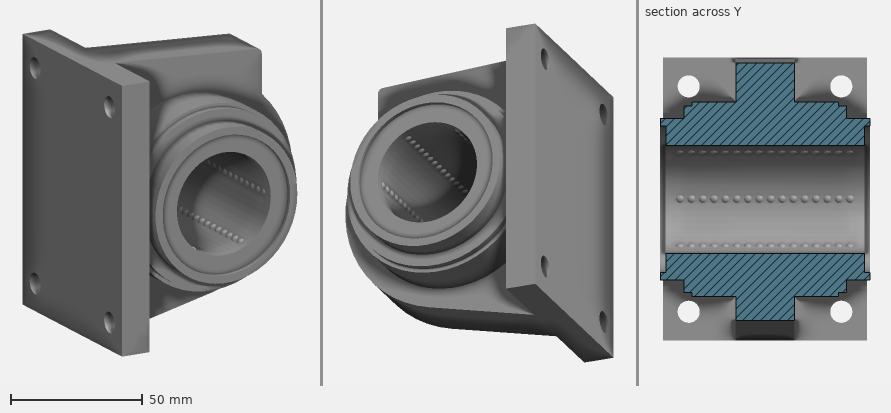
import cadquery as cq
import math


sleeve_length = 80.0
overall_depth = 90.0
plate_height = 108.0
rib_radius = overall_depth / 2

plate_width = 77.8
plate_thickness = 12.1
mount_face_y = -overall_depth / 2
plate_back_y = mount_face_y + plate_thickness
hole_spacing_x = 58.2
hole_spacing_z = 86.0
mount_hole_diameter = 8.4

rib_thickness = 22.6
rib_depth = 76.5
rib_drop = 3.8
rib_corner_radius = 2.0

hub_radius = 37.3
hub_length = 56.2
shoulder_radius = 35.7
shoulder_length = 62.0
sleeve_radius = 31.0

bore_radius = 20.5
recess_radius = 27.9
recess_depth = 2.0
recess_offset = (sleeve_length - recess_depth) / 2

ball_rows = 6
balls_per_row = 16
ball_pitch = 4.3
ball_radius = 2.0
ball_protrusion = 0.6


def x_cylinder(radius, length, centre_x=0):
    """Cylinder on the bore axis with its middle at centre_x."""
    return cq.Workplane("YZ", origin=(centre_x - length / 2, 0, 0)).circle(radius).extrude(length)


def mounting_plate():
    plate = cq.Workplane("XY").box(plate_width, plate_thickness, plate_height)
    hole_grid = plate.faces("<Y").workplane().rarray(hole_spacing_x, hole_spacing_z, 2, 2)
    return hole_grid.hole(mount_hole_diameter).translate((0, mount_face_y + plate_thickness / 2, 0))


def rib():
    """Round-backed web: a sloping top block above, a line tangent to the round below."""
    top_z = plate_height / 2
    block_back_y = mount_face_y + rib_depth
    block_top_z = top_z - rib_drop
    block_foot_z = math.sqrt(rib_radius**2 - block_back_y**2)

    corner_distance = math.hypot(plate_back_y, top_z)
    tangent_angle = math.atan2(-top_z, plate_back_y) + math.acos(rib_radius / corner_distance)
    tangent_y = rib_radius * math.cos(tangent_angle)
    tangent_z = rib_radius * math.sin(tangent_angle)

    web = (
        cq.Workplane("YZ", origin=(-rib_thickness / 2, 0, 0))
        .moveTo(plate_back_y, top_z)
        .lineTo(block_back_y, block_top_z)
        .lineTo(block_back_y, block_foot_z)
        .threePointArc((rib_radius, 0), (tangent_y, tangent_z))
        .lineTo(plate_back_y, -top_z)
        .close()
        .extrude(rib_thickness)
    )
    corner = cq.selectors.NearestToPointSelector((0, block_back_y, block_top_z))
    return web.edges("|X").edges(corner).fillet(rib_corner_radius)


def bearing_balls():
    """Balls in straight rows, spaced evenly around the bore."""
    centre_radius = bore_radius - ball_protrusion + ball_radius
    first_x = -ball_pitch * (balls_per_row - 1) / 2
    balls = []
    for row in range(ball_rows):
        angle = 2 * math.pi * row / ball_rows
        y = centre_radius * math.cos(angle)
        z = centre_radius * math.sin(angle)
        for index in range(balls_per_row):
            centre = cq.Vector(first_x + index * ball_pitch, y, z)
            balls.append(cq.Workplane("XY").sphere(ball_radius).val().translate(centre))
    return balls


body = mounting_plate().union(rib())
body = body.union(x_cylinder(hub_radius, hub_length))
body = body.union(x_cylinder(shoulder_radius, shoulder_length))
body = body.union(x_cylinder(sleeve_radius, sleeve_length))
body = body.cut(x_cylinder(bore_radius, sleeve_length))
for end_offset in (-recess_offset, recess_offset):
    body = body.cut(x_cylinder(recess_radius, recess_depth, end_offset))

body_with_balls = body.val().fuse(*bearing_balls())
result = cq.Workplane(body_with_balls.Solids()[0])